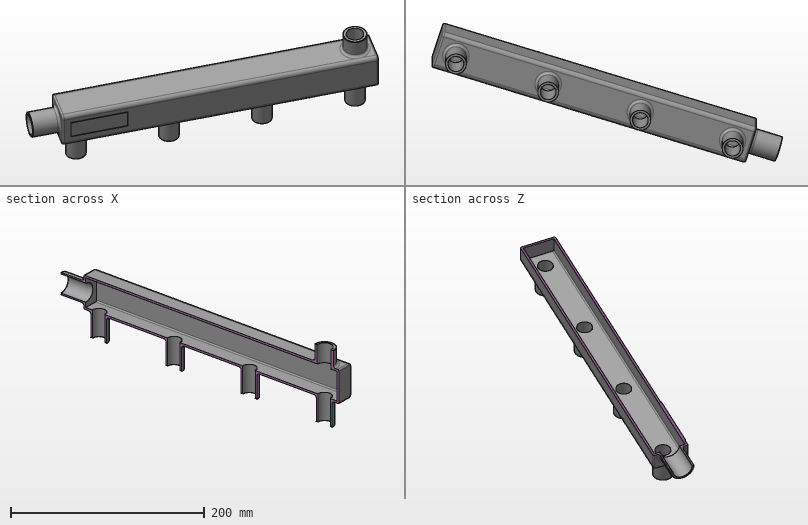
import cadquery as cq
import math

tube_side = 40.0
overall_length = 370.0
nozzle_length = 30.0
tube_length = overall_length - nozzle_length
tube_corner_radius = 4.5
tube_wall = 3.0
end_rounding = 2.0

flare_radius = 3.0
outer_rim_chamfer = 0.55
front_nozzle_diameter = 26.5
front_bore_diameter = 22.0
top_nozzle_diameter = 25.0
top_nozzle_length = 20.0
top_bore_diameter = 18.0
bottom_nozzle_diameter = 21.5
bottom_bore_diameter = 16.3
bottom_nozzle_count = 4
end_nozzle_inset = 20.0
bottom_nozzle_pitch = (tube_length - 2 * end_nozzle_inset) / (bottom_nozzle_count - 1)

plate_thickness = 0.7
plate_length = 61.0
plate_height = 19.0
plate_front_inset = 9.0
plate_center_z = 1.0

half_side = tube_side / 2
front_y = -tube_length / 2
rear_y = tube_length / 2
rear_nozzle_y = rear_y - end_nozzle_inset

UP = cq.Vector(0, 0, 1)
DOWN = cq.Vector(0, 0, -1)
FRONT = cq.Vector(0, -1, 0)
ACROSS = cq.Vector(1, 0, 0)


def make_tube():
    """Closed square tube, hollow inside, with rounded end edges."""
    outside = (
        cq.Workplane("XY")
        .box(tube_side, tube_length, tube_side)
        .edges("|Y")
        .fillet(tube_corner_radius)
        .faces("<Y or >Y")
        .edges()
        .fillet(end_rounding)
    )
    cavity_side = tube_side - 2 * tube_wall
    cavity = (
        cq.Workplane("XY")
        .box(cavity_side, tube_length - 2 * tube_wall, cavity_side)
        .edges("|Y")
        .fillet(tube_corner_radius - tube_wall)
    )
    return outside.cut(cavity)


def make_nozzle(base, direction, diameter, length, rim_chamfer=0):
    """Solid nozzle on the tube face at base, flared at its root and rooted inside the wall."""
    radius = diameter / 2
    flare_outer = radius + flare_radius
    root = -tube_wall / 2
    arc_reach = flare_radius * (1 - math.sqrt(0.5))
    plane = cq.Plane(origin=base, xDir=ACROSS, normal=ACROSS.cross(direction))
    profile = (
        cq.Workplane(plane)
        .moveTo(0, root)
        .lineTo(flare_outer, root)
        .lineTo(flare_outer, 0)
        .threePointArc((radius + arc_reach, arc_reach), (radius, flare_radius))
        .lineTo(radius, length - rim_chamfer)
    )
    if rim_chamfer:
        profile = profile.lineTo(radius - rim_chamfer, length)
    return profile.lineTo(0, length).close().revolve(360, (0, 0), (0, 1))


def make_bore(base, direction, diameter, length):
    """Round cutter from inside the cavity, through the tube wall, to the nozzle rim."""
    depth_inside = 2 * tube_wall
    plane = cq.Plane(origin=base - direction * depth_inside, xDir=ACROSS, normal=direction)
    return cq.Workplane(plane).circle(diameter / 2).extrude(length + depth_inside)


def make_plate():
    """Thin raised plate on the +X side, sunk into the wall so that it fuses with it."""
    depth = plate_thickness + tube_wall / 2
    return cq.Workplane("XY").box(depth, plate_length, plate_height).translate(
        (
            half_side + plate_thickness - depth / 2,
            front_y + plate_front_inset + plate_length / 2,
            plate_center_z,
        )
    )


front_base = cq.Vector(0, front_y, 0)
top_base = cq.Vector(0, rear_nozzle_y, half_side)
bottom_bases = [
    cq.Vector(0, rear_nozzle_y - i * bottom_nozzle_pitch, -half_side) for i in range(bottom_nozzle_count)
]

result = make_tube().union(make_plate())
result = result.union(
    make_nozzle(front_base, FRONT, front_nozzle_diameter, nozzle_length, outer_rim_chamfer)
)
result = result.union(make_nozzle(top_base, UP, top_nozzle_diameter, top_nozzle_length, outer_rim_chamfer))
for base in bottom_bases:
    result = result.union(make_nozzle(base, DOWN, bottom_nozzle_diameter, nozzle_length))

result = result.cut(make_bore(front_base, FRONT, front_bore_diameter, nozzle_length))
result = result.cut(make_bore(top_base, UP, top_bore_diameter, top_nozzle_length))
for base in bottom_bases:
    result = result.cut(make_bore(base, DOWN, bottom_bore_diameter, nozzle_length))